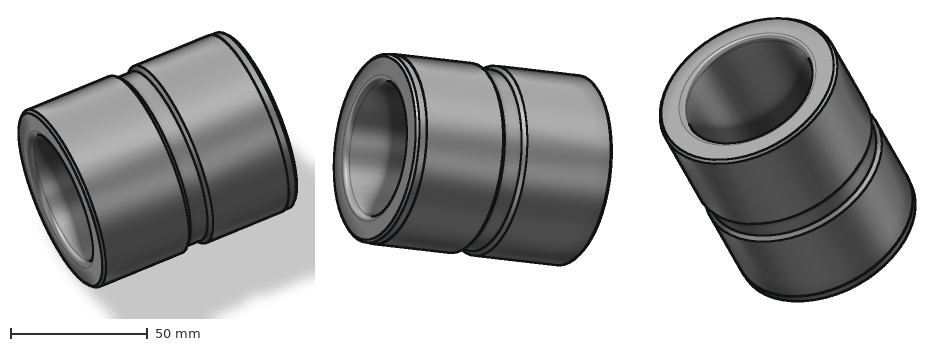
import cadquery as cq

length = 80.0
outer_diameter = 70.0
outer_radius = outer_diameter / 2
bore_radius = 25.0
half_length = length / 2

end_chamfer = 1.0
bore_rounding = 2.0
pilot_length = 4.0
pilot_radius = outer_radius - 0.2

groove_width = 9.9
groove_depth = 1.6
flank_width = 1.5
groove_radius = outer_radius - groove_depth
groove_half_width = groove_width / 2
floor_half_width = groove_half_width - flank_width


def make_body():
    """Revolve the half section, drawn as (radius, Y), about the Y axis."""
    pilot_start = half_length - pilot_length
    return (
        cq.Workplane("XY")
        .moveTo(bore_radius + bore_rounding, -half_length)
        .lineTo(outer_radius - end_chamfer, -half_length)
        .lineTo(outer_radius, -half_length + end_chamfer)
        .lineTo(outer_radius, -groove_half_width)
        .lineTo(groove_radius, -floor_half_width)
        .lineTo(groove_radius, floor_half_width)
        .lineTo(outer_radius, groove_half_width)
        .lineTo(outer_radius, pilot_start)
        .lineTo(pilot_radius, pilot_start)
        .lineTo(pilot_radius, half_length - end_chamfer)
        .lineTo(pilot_radius - end_chamfer, half_length)
        .lineTo(bore_radius + bore_rounding, half_length)
        .radiusArc((bore_radius, half_length - bore_rounding), -bore_rounding)
        .lineTo(bore_radius, -half_length + bore_rounding)
        .radiusArc((bore_radius + bore_rounding, -half_length), -bore_rounding)
        .close()
        .revolve(360, (0, 0, 0), (0, 1, 0))
    )


result = make_body()